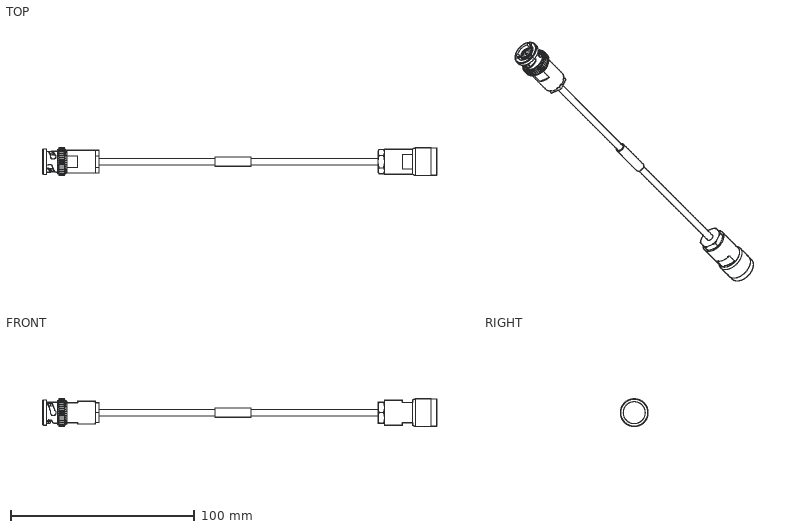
import cadquery as cq
import math


total_length = 214.85
plug_nut_start = 28.8
plug_nut_end = 30.8
marker_start = 93.9
marker_length = 19.7
jack_nut_start = 182.9
jack_body_start = 186.2
jack_coupling_start = 201.7

coupling_radius = 7.62
shell_length = 13.4
shell_radius = 5.8
shell_bore_radius = 4.95
front_ring_radius = 7.0
front_ring_length = 2.1
front_ring_chamfer = 0.4
collar_start = 8.0
collar_radius = 6.4
shoulder_radius = 7.0
collar_end_radius = 6.0
knurl_start = 8.8
knurl_end = 11.9
knurl_count = 40
knurl_depth = 1.2
knurl_angle = 45

lug_count = 3
lug_turn = 60
first_entry_angle = -90
lug_slot_width = 2.4
lug_entry_width = 2.6
lug_entry_radius = 6.2
slot_entry_x = 4.0
lug_seat_x = 5.8
lug_seat_diameter = 3.0

plug_body_radius = 6.3
plug_flat_height = 5.5
plug_flat_end = 19.1
hub_start = 9.0
contact_front = 1.2
outer_contact_radius = 3.75
outer_contact_bore = 3.3
inner_contact_radius = 2.6
inner_contact_bore = 1.8
pin_radius = 0.55

jack_body_radius = 6.9
jack_flat_height = 5.6
jack_flat_start = 196.0
spigot_radius = 6.0
jack_coupling_chamfer = 0.6
jack_chamfer_end = 203.1
rim_length = 3.3
rim_step = 0.1
rim_chamfer = 0.2

plug_nut_corner_radius = 6.3
jack_nut_corner_radius = 6.7
jack_nut_chamfer_length = 0.5
jack_nut_chamfer_height = 0.8
cable_radius = 1.85
marker_radius = 2.55


def cylinder(start, end, radius):
    """Round bar on the X axis between two stations."""
    return cq.Workplane("YZ").workplane(offset=start).circle(radius).extrude(end - start)


def turned(points):
    """Solid turned about the X axis from (x, radius) points."""
    return cq.Workplane("XZ").polyline(points).close().revolve(360, (0, 0, 0), (1, 0, 0))


def rotated(shape, angle):
    """Shape turned about the X axis."""
    return shape.rotate((0, 0, 0), (1, 0, 0), angle)


def wrench_flats(start, end, height, radius):
    """Material above and below a pair of flats facing +Z and -Z."""
    upper = cq.Workplane("XY").box(end - start, 2 * radius, radius, centered=(False, True, False))
    upper = upper.translate((start, 0, height))
    return upper.union(upper.mirror("XY"))


def lug_path():
    """Entry groove, inclined slot and seat hole for one lug entering at +Z and turning toward -Y."""
    entry = cq.Workplane("XY").box(
        slot_entry_x, lug_entry_width, lug_entry_radius, centered=(False, True, False)
    )
    half_chord = shell_radius * math.sin(math.radians(lug_turn / 2))
    travel = lug_seat_x - slot_entry_x
    slot = (
        cq.Workplane("XY")
        .center((slot_entry_x + lug_seat_x) / 2, 0)
        .slot2D(
            math.hypot(travel, 2 * half_chord) + lug_slot_width,
            lug_slot_width,
            math.degrees(math.atan2(-2 * half_chord, travel)),
        )
        .extrude(front_ring_radius)
    )
    seat = (
        cq.Workplane("XY").center(lug_seat_x, 0).circle(lug_seat_diameter / 2).extrude(front_ring_radius)
    )
    return entry.union(rotated(slot, lug_turn / 2)).union(rotated(seat, lug_turn))


def make_bayonet_coupling():
    shell = turned(
        [
            (0, shell_bore_radius),
            (0, front_ring_radius - front_ring_chamfer),
            (front_ring_chamfer, front_ring_radius),
            (front_ring_length, front_ring_radius),
            (front_ring_length, shell_radius),
            (collar_start, shell_radius),
            (collar_start, collar_radius),
            (knurl_start, shoulder_radius),
            (knurl_start, coupling_radius),
            (knurl_end, coupling_radius),
            (knurl_end, shoulder_radius),
            (shell_length, collar_end_radius),
            (shell_length, shell_bore_radius),
        ]
    )
    for i in range(lug_count):
        shell = shell.cut(rotated(lug_path(), first_entry_angle + i * 360 / lug_count))
    half_width = knurl_depth * math.tan(math.radians(knurl_angle / 2))
    groove = (
        cq.Workplane("YZ")
        .workplane(offset=collar_start)
        .polyline(
            [
                (-half_width, coupling_radius),
                (0, coupling_radius - knurl_depth),
                (half_width, coupling_radius),
            ]
        )
        .close()
        .extrude(shell_length - collar_start)
    )
    for i in range(knurl_count):
        shell = shell.cut(rotated(groove, (i + 0.5) * 360 / knurl_count))
    return shell


def make_plug_body():
    body = cylinder(shell_length, plug_nut_start, plug_body_radius)
    body = body.cut(wrench_flats(shell_length, plug_flat_end, plug_flat_height, plug_body_radius))
    body = body.union(cylinder(hub_start, shell_length, shell_bore_radius))
    outer = cylinder(contact_front, hub_start, outer_contact_radius)
    outer = outer.cut(cylinder(contact_front, hub_start, outer_contact_bore))
    inner = cylinder(contact_front, hub_start, inner_contact_radius)
    inner = inner.cut(cylinder(contact_front, hub_start, inner_contact_bore))
    pin = cylinder(contact_front, hub_start, pin_radius)
    return body.union(outer).union(inner).union(pin)


def make_clamp_nut(start, end, corner_radius):
    """Hexagonal nut with corners on the Y axis, bored for the cable."""
    nut = cq.Workplane("YZ").workplane(offset=start).polygon(6, 2 * corner_radius).extrude(end - start)
    return nut.cut(cylinder(start, end, cable_radius))


def make_jack_nut():
    """Clamp nut with its corners turned down to a shallow cone at both ends."""
    end_radius = jack_nut_corner_radius - jack_nut_chamfer_height
    envelope = turned(
        [
            (jack_nut_start, 0),
            (jack_nut_start, end_radius),
            (jack_nut_start + jack_nut_chamfer_length, jack_nut_corner_radius),
            (jack_body_start - jack_nut_chamfer_length, jack_nut_corner_radius),
            (jack_body_start, end_radius),
            (jack_body_start, 0),
        ]
    )
    return make_clamp_nut(jack_nut_start, jack_body_start, jack_nut_corner_radius).intersect(envelope)


def make_cable():
    return cylinder(plug_nut_start, jack_body_start, cable_radius)


def make_marker():
    marker_end = marker_start + marker_length
    marker = cylinder(marker_start, marker_end, marker_radius)
    return marker.cut(cylinder(marker_start, marker_end, cable_radius))


def make_jack_body():
    body = cylinder(jack_body_start, jack_coupling_start, jack_body_radius)
    body = body.cut(wrench_flats(jack_flat_start, jack_coupling_start, jack_flat_height, jack_body_radius))
    return body.union(cylinder(jack_coupling_start, total_length, spigot_radius))


def make_jack_coupling():
    rim_start = total_length - rim_length
    rim_radius = coupling_radius - rim_step
    return turned(
        [
            (jack_coupling_start, spigot_radius),
            (jack_coupling_start, coupling_radius - jack_coupling_chamfer),
            (jack_chamfer_end, coupling_radius),
            (rim_start, coupling_radius),
            (rim_start, rim_radius),
            (total_length - rim_chamfer, rim_radius),
            (total_length, rim_radius - rim_chamfer),
            (total_length, spigot_radius),
        ]
    )


bayonet_coupling = make_bayonet_coupling()
plug_body = make_plug_body()
plug_nut = make_clamp_nut(plug_nut_start, plug_nut_end, plug_nut_corner_radius)
cable = make_cable()
marker = make_marker()
jack_nut = make_jack_nut()
jack_body = make_jack_body()
jack_coupling = make_jack_coupling()

result = cq.Compound.makeCompound(
    [
        bayonet_coupling.val(),
        plug_body.val(),
        plug_nut.val(),
        cable.val(),
        marker.val(),
        jack_nut.val(),
        jack_body.val(),
        jack_coupling.val(),
    ]
)